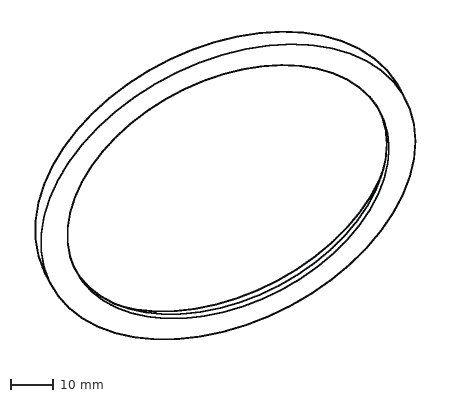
import cadquery as cq

outer_diameter = 95.0
bore_diameter = 85.0
lip_diameter = 81.5
ring_width = 6.0
lip_thickness = 1.5

outer_radius = outer_diameter / 2
bore_radius = bore_diameter / 2
lip_radius = lip_diameter / 2

round_radius = (outer_radius - bore_radius) / 2
wall_middle_radius = bore_radius + round_radius

rim_x = -ring_width / 2
back_x = ring_width / 2
round_end_x = rim_x + round_radius
lip_face_x = back_x - lip_thickness

section = (
    cq.Workplane("XY")
    .moveTo(back_x, lip_radius)
    .lineTo(back_x, outer_radius)
    .lineTo(round_end_x, outer_radius)
    .threePointArc((rim_x, wall_middle_radius), (round_end_x, bore_radius))
    .lineTo(lip_face_x, bore_radius)
    .lineTo(lip_face_x, lip_radius)
    .close()
)

result = section.revolve(360, (0, 0, 0), (1, 0, 0))